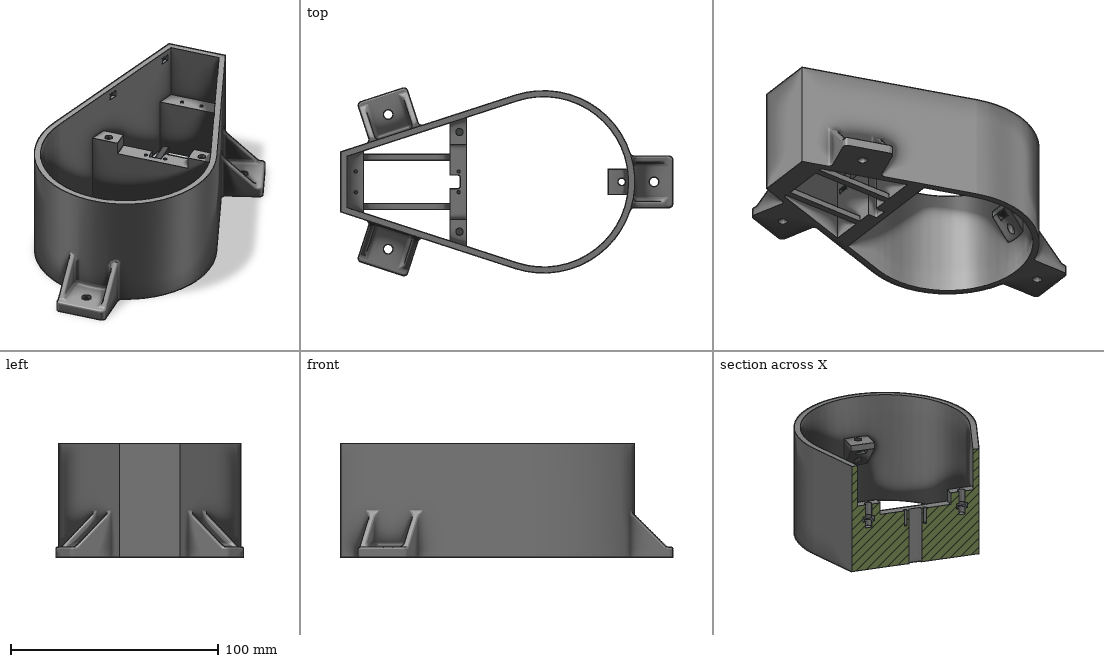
import cadquery as cq
import math

HEIGHT = 55.0
WALL = 3.0
OUTER_R = 44.0
INNER_R = OUTER_R - WALL
FLAT_END_X = -97.8
TAPER = 18.0
SIN_T = math.sin(math.radians(TAPER))
COS_T = math.cos(math.radians(TAPER))

FOOT_WIDTH = 25.0
FOOT_LENGTH = 20.0
FOOT_THICKNESS = 5.0
FOOT_CORNER_R = 2.0
FOOT_HOLE_D = 4.5
GUSSET_THICKNESS = 3.0
GUSSET_HEIGHT = 22.0
GUSSET_SETBACK = 3.0
EDGE_R = 1.0
BLEND_R = 2.0
EDGE_CLEARANCE = BLEND_R + EDGE_R
SIDE_FOOT_SHIFT = -61.17
SIDE_FOOT_HOLE = 10.0
END_FOOT_HOLE = 9.1
END_FOOT_TIP_X = FLAT_END_X + 160.19
FOOT_ROOT_DEPTH = 2.0

DECK_Z = 28.0
POST_Z = 34.0
LEDGE_END_X = FLAT_END_X + 11.1
BEAM_START_X = FLAT_END_X + 52.7
BEAM_WIDTH = 8.0
POST_INNER_Y = 18.1
POST_HOLE_X = FLAT_END_X + 57.3
POST_HOLE_Y = 24.0
POST_HOLE_DEPTH = 12.0
SCREW_HOLE_D = 3.5
RAIL_WIDTH = 3.0
RAIL_HEIGHT = 3.0
RAIL_CENTER_Y = 11.85
NOTCH_DEPTH = 4.9
NOTCH_WIDTH = 6.4
NOTCH_R = 1.0
PILOT_HOLE_D = 1.5
PILOT_HOLE_DEPTH = 8.0
PILOT_HOLE_Y = 5.0
PILOT_HOLES_X = (FLAT_END_X + 7.3, FLAT_END_X + 56.9)

NUT_WIDTH = 5.5
NUT_HEIGHT = 2.5
NUT_SLOT_Z = 25.1
NUT_SLOT_DEPTH = 7.25

BRACKET_TIP_X = 31.2
BRACKET_WIDTH = 12.2
BRACKET_LIP = 3.1
BRACKET_SLOPE = 50.0
BRACKET_HOLE_X = 37.7
BRACKET_SLOT_Z = 28.0

TOL = 0.01

POCKET_LENGTH = 4.0
POCKET_HEIGHT = 3.0
POCKET_DEPTH = 1.5
POCKET_TOP_Z = 52.0
POCKETS_X = (FLAT_END_X + 7.2, FLAT_END_X + 45.5)


def teardrop(radius, flat_x, height):
    """Solid teardrop: an arc about the origin, tangent flanks, a flat end."""
    tangent_x = -radius * SIN_T
    tangent_y = radius * COS_T
    flat_y = tangent_y - (tangent_x - flat_x) * SIN_T / COS_T
    return (
        cq.Workplane("XY")
        .moveTo(flat_x, -flat_y)
        .lineTo(tangent_x, -tangent_y)
        .threePointArc((radius, 0), (tangent_x, tangent_y))
        .lineTo(flat_x, flat_y)
        .close()
        .extrude(height)
    )


def block(x0, x1, y0, y1, z0, z1):
    return cq.Workplane("XY").box(x1 - x0, y1 - y0, z1 - z0, centered=False).translate((x0, y0, z0))


def drill(x, y, diameter, z_top, depth):
    return cq.Workplane("XY", origin=(x, y, z_top)).circle(diameter / 2).extrude(-depth)


def foot():
    """Foot with its root on the YZ plane, reaching out along +X."""
    half = FOOT_WIDTH / 2
    plate = block(-FOOT_ROOT_DEPTH, FOOT_LENGTH, -half, half, 0, FOOT_THICKNESS)
    plate = plate.edges("|Z and >X").fillet(FOOT_CORNER_R)
    toe_x = FOOT_LENGTH - GUSSET_SETBACK
    slope = (GUSSET_HEIGHT - FOOT_THICKNESS) / toe_x
    root_z = GUSSET_HEIGHT + FOOT_ROOT_DEPTH * slope
    gusset = (
        cq.Workplane("XZ", origin=(0, half, 0))
        .polyline([(-FOOT_ROOT_DEPTH, 0), (toe_x, 0), (toe_x, FOOT_THICKNESS), (-FOOT_ROOT_DEPTH, root_z)])
        .close()
        .extrude(GUSSET_THICKNESS)
    )
    return plate.union(gusset).union(gusset.mirror("XZ")).clean()


def foot_location(root_x, angle, shift):
    """Location of a foot whose root is root_x out from the origin, then turned by angle."""
    return cq.Location((0, 0, 0), (0, 0, 1), angle) * cq.Location((root_x, shift, 0))


END_FOOT = foot_location(END_FOOT_TIP_X - FOOT_LENGTH, 0, 0)
SIDE_FOOT = foot_location(OUTER_R, 90 + TAPER, -SIDE_FOOT_SHIFT)


def pick_edges(solid, location, wanted):
    """Edges of a solid whose middle, seen in foot coordinates, is wanted."""
    to_foot = location.inverse
    return [e for e in solid.Edges() if wanted(e.moved(to_foot).positionAt(0.5))]


def is_at_plate_top(p):
    return math.isclose(p.z, FOOT_THICKNESS, abs_tol=TOL)


def is_inside_corner(p):
    """Where the plate's top meets the gussets."""
    clear_of_wall = EDGE_CLEARANCE < p.x < FOOT_LENGTH - GUSSET_SETBACK + TOL
    return is_at_plate_top(p) and clear_of_wall and abs(p.y) < FOOT_WIDTH / 2 - TOL


def is_outside_edge(p):
    """The plate's upper rim and both long edges of each gusset's slope."""
    half = FOOT_WIDTH / 2
    on_rim = is_at_plate_top(p) and (abs(p.y) > half - TOL or p.x > FOOT_LENGTH - FOOT_CORNER_R)
    on_slope = p.z > FOOT_THICKNESS + EDGE_CLEARANCE and p.x > EDGE_CLEARANCE
    return abs(p.y) < half + TOL and (on_rim or on_slope) and 0 < p.x < FOOT_LENGTH + TOL and p.z < GUSSET_HEIGHT


def wall_joints(solid, location):
    """Edges where one foot meets the outer wall, except along the base."""
    to_foot = location.inverse
    joints = []
    for edge in solid.Edges():
        p = edge.positionAt(0.5)
        reach = math.hypot(p.x, p.y) if p.x > 0 else abs(p.y) * COS_T - p.x * SIN_T
        on_wall = math.isclose(reach, OUTER_R, abs_tol=TOL) and TOL < p.z < HEIGHT / 2
        local = edge.moved(to_foot).positionAt(0.5)
        if on_wall and local.x > -FOOT_ROOT_DEPTH and abs(local.y) < FOOT_WIDTH:
            joints.append(edge)
    return joints


def round_side_foot(solid, location):
    """Blend all inside corners, then round the outside edges."""
    corners = pick_edges(solid, location, is_inside_corner)
    solid = solid.fillet(BLEND_R, corners + wall_joints(solid, location))
    return solid.fillet(EDGE_R, pick_edges(solid, location, is_outside_edge))


def round_end_foot(solid, location):
    """As for a side foot, but the joint with the curved wall is blended last."""
    solid = solid.fillet(BLEND_R, pick_edges(solid, location, is_inside_corner))
    solid = solid.fillet(EDGE_R, pick_edges(solid, location, is_outside_edge))
    return solid.fillet(BLEND_R, wall_joints(solid, location))


def both_sides(shape):
    return shape.union(shape.mirror("XZ"))


def body_with_foot(location, hole_setback, round_edges):
    """Solid teardrop carrying one finished foot."""
    hole = drill(FOOT_LENGTH - hole_setback, 0, FOOT_HOLE_D, FOOT_THICKNESS, FOOT_THICKNESS)
    body = teardrop(OUTER_R, FLAT_END_X, HEIGHT).union(cq.Workplane(obj=foot().val().moved(location)))
    rounded = round_edges(body.solids().val(), location)
    return cq.Workplane(obj=rounded).cut(cq.Workplane(obj=hole.val().moved(location)))


def ledge():
    return block(FLAT_END_X, LEDGE_END_X, -OUTER_R, OUTER_R, 0, DECK_Z)


def crossbeam():
    """Beam across the flanks with a screw post at each end and a notch in the middle."""
    end_x = BEAM_START_X + BEAM_WIDTH
    beam = block(BEAM_START_X, end_x, -OUTER_R, OUTER_R, 0, DECK_Z)
    posts = both_sides(block(BEAM_START_X, end_x, POST_INNER_Y, OUTER_R, 0, POST_Z))
    notch_end_x = BEAM_START_X + NOTCH_DEPTH
    notch = block(BEAM_START_X, notch_end_x, -NOTCH_WIDTH / 2, NOTCH_WIDTH / 2, 0, DECK_Z)
    notch = notch.edges("|Z and >X").fillet(NOTCH_R)
    screw_hole = drill(POST_HOLE_X, POST_HOLE_Y, SCREW_HOLE_D, POST_Z, POST_HOLE_DEPTH)
    nut_slot = block(
        BEAM_START_X,
        BEAM_START_X + NUT_SLOT_DEPTH,
        POST_HOLE_Y - NUT_WIDTH / 2,
        POST_HOLE_Y + NUT_WIDTH / 2,
        NUT_SLOT_Z,
        NUT_SLOT_Z + NUT_HEIGHT,
    )
    return beam.union(posts).cut(notch).cut(both_sides(screw_hole.union(nut_slot)))


def rails():
    y0 = RAIL_CENTER_Y - RAIL_WIDTH / 2
    return both_sides(block(LEDGE_END_X, BEAM_START_X, y0, y0 + RAIL_WIDTH, 0, RAIL_HEIGHT))


def end_bracket():
    """Screw bracket on the round end with a sloping underside and a nut slot."""
    lip_z = POST_Z - BRACKET_LIP
    root_z = lip_z - (OUTER_R - BRACKET_TIP_X) * math.tan(math.radians(BRACKET_SLOPE))
    bracket = (
        cq.Workplane("XZ", origin=(0, BRACKET_WIDTH / 2, 0))
        .polyline([(BRACKET_TIP_X, POST_Z), (BRACKET_TIP_X, lip_z), (OUTER_R, root_z), (OUTER_R, POST_Z)])
        .close()
        .extrude(BRACKET_WIDTH)
    )
    nut_slot = block(
        BRACKET_TIP_X,
        BRACKET_HOLE_X + NUT_WIDTH / 2,
        -NUT_WIDTH / 2,
        NUT_WIDTH / 2,
        BRACKET_SLOT_Z,
        BRACKET_SLOT_Z + NUT_HEIGHT,
    )
    return bracket.cut(nut_slot).cut(drill(BRACKET_HOLE_X, 0, SCREW_HOLE_D, POST_Z, POST_Z))


def latch_pockets():
    """Shallow square-sided pockets sunk into the inner faces of both flanks."""
    pockets = cq.Workplane("XY")
    half = POCKET_LENGTH / 2
    for x in POCKETS_X:
        flank_y = (INNER_R + x * SIN_T) / COS_T
        pocket = block(
            x - half, x + half, flank_y - WALL, flank_y + POCKET_DEPTH, POCKET_TOP_Z - POCKET_HEIGHT, POCKET_TOP_Z
        )
        pockets = pockets.add(pocket).add(pocket.mirror("XZ"))
    return pockets.combine()


def pilot_holes():
    holes = cq.Workplane("XY")
    for x in PILOT_HOLES_X:
        hole = drill(x, PILOT_HOLE_Y, PILOT_HOLE_D, DECK_Z, PILOT_HOLE_DEPTH)
        holes = holes.add(hole).add(hole.mirror("XZ"))
    return holes.combine()


outline = teardrop(OUTER_R, FLAT_END_X, HEIGHT)
cavity = teardrop(INNER_R, FLAT_END_X + WALL, HEIGHT)
supports = ledge().union(crossbeam()).union(rails()).union(end_bracket()).intersect(outline)

end_footed = body_with_foot(END_FOOT, END_FOOT_HOLE, round_end_foot)
side_footed = body_with_foot(SIDE_FOOT, SIDE_FOOT_HOLE, round_side_foot)
housing = end_footed.union(both_sides(side_footed)).clean().cut(cavity)

result = housing.union(supports).cut(pilot_holes()).cut(latch_pockets())